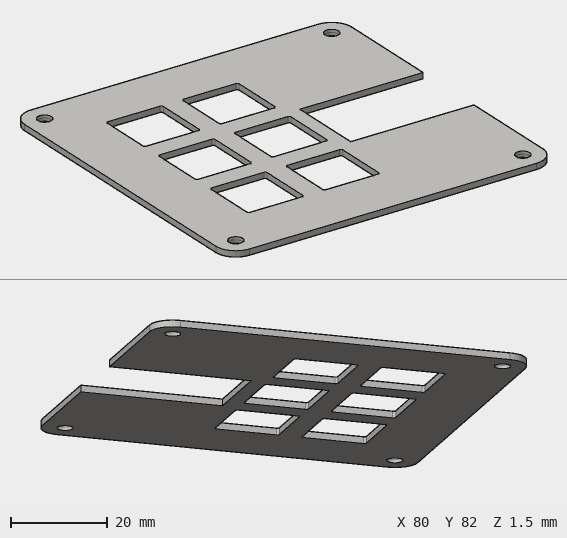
import cadquery as cq

width = 80.0
length = 82.0
thickness = 1.5
corner_radius = 5.0

hole_diameter = 3.4
hole_spacing_x = width - 2 * corner_radius
hole_spacing_y = length - 2 * corner_radius

window_size = 14.0
window_corner_radius = 0.5
window_pitch = 19.0
window_columns = 3
window_rows = 2
grid_center_x = -0.3
grid_center_y = -10.0

notch_width = 18.6
notch_depth = 30.9
notch_center_x = 0.5


def make_plate():
    plate = cq.Workplane("XY").box(width, length, thickness)
    return plate.edges("|Z").fillet(corner_radius)


def make_mounting_holes():
    return (
        cq.Workplane("XY")
        .rect(hole_spacing_x, hole_spacing_y, forConstruction=True)
        .vertices()
        .circle(hole_diameter / 2)
        .extrude(thickness, both=True)
    )


def make_windows():
    return (
        cq.Workplane("XY")
        .center(grid_center_x, grid_center_y)
        .rarray(window_pitch, window_pitch, window_columns, window_rows)
        .rect(window_size, window_size)
        .extrude(thickness, both=True)
        .edges("|Z")
        .fillet(window_corner_radius)
    )


def make_notch():
    notch_center_y = length / 2 - notch_depth / 2
    return (
        cq.Workplane("XY")
        .center(notch_center_x, notch_center_y)
        .rect(notch_width, notch_depth)
        .extrude(thickness, both=True)
    )


result = make_plate().cut(make_mounting_holes()).cut(make_windows()).cut(make_notch())